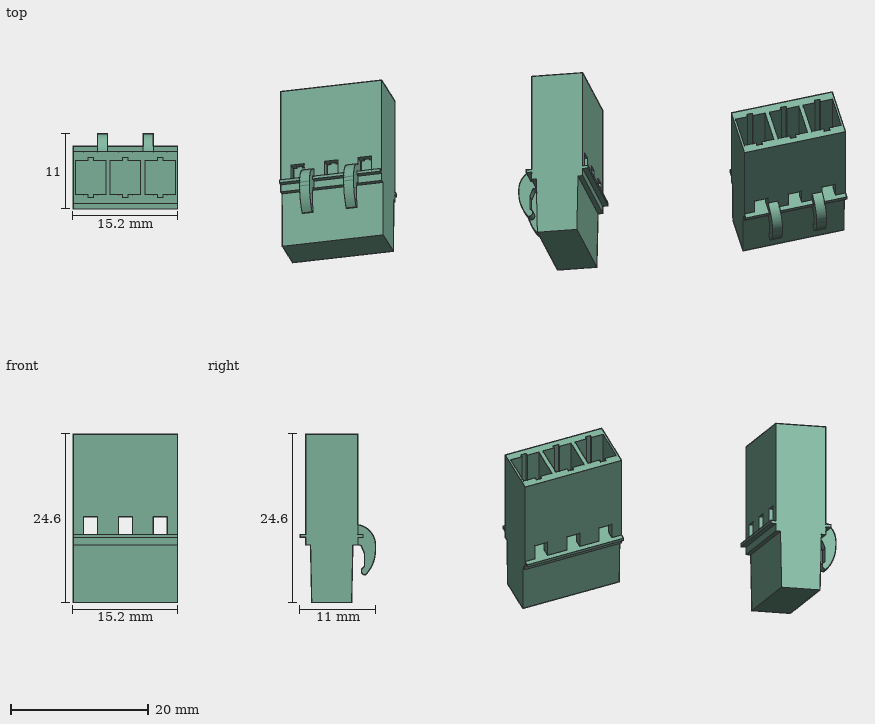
import cadquery as cq

height = 24.55
width = 15.25
upper_depth = 7.6
shoulder_z = 8.37

plug_top_depth = 6.2
plug_bottom_depth = 5.87

flange_depth = 9.18
flange_top_z = 9.95
flange_thickness = 0.45

cavity_count = 3
cavity_pitch = 5.08
cavity_width = 4.45
cavity_depth = 4.98
key_slot_width = 0.8
key_slot_span = 5.87
cavity_floor_z = flange_top_z

window_width = 2.01
window_height = 2.55

latch_count = 2
latch_spacing = 6.65
latch_width = 1.5
latch_reach_y = 6.4
latch_crown_z = 8.35
latch_sweep_z = 7.73
latch_root_top_z = 11.37
latch_inner_y = 4.76
latch_inner_bottom_z = 5.3
latch_inner_top_z = 7.17

crown_middle = (5.67, 10.34)
sweep_middle = (6.05, 5.75)
tip_outer = (4.95, 4.03)
tip_middle = (4.32, 4.52)
tip_inner = (4.62, 5.13)
flare_end = (4.4, 8.03)
root_round_middle = (4.25, 8.27)
root_round_end = (4.03, shoulder_z)


def row_positions(count, pitch):
    """X positions of a row of features centred on the housing."""
    return [(i - (count - 1) / 2) * pitch for i in range(count)]


def box_on(z, size_x, size_y, size_z):
    """Box centred on the Z axis with its underside at height z."""
    return cq.Workplane("XY").workplane(offset=z).rect(size_x, size_y).extrude(size_z)


def make_housing():
    """Upper block, tapered plug and flange, all of the same width."""
    plug = (
        cq.Workplane("YZ")
        .moveTo(-plug_bottom_depth / 2, 0)
        .lineTo(plug_bottom_depth / 2, 0)
        .lineTo(plug_top_depth / 2, shoulder_z)
        .lineTo(-plug_top_depth / 2, shoulder_z)
        .close()
        .extrude(width / 2, both=True)
    )
    upper = box_on(shoulder_z, width, upper_depth, height - shoulder_z)
    flange_z = flange_top_z - flange_thickness
    flange = box_on(flange_z, width, flange_depth, flange_thickness)
    return upper.union(plug).union(flange)


def make_cavity():
    """Cavity with its key slots and the window at its floor."""
    cavity_height = height - cavity_floor_z
    cavity = box_on(cavity_floor_z, cavity_width, cavity_depth, cavity_height)
    key_slot = box_on(cavity_floor_z, key_slot_width, key_slot_span, cavity_height)
    window = box_on(cavity_floor_z, window_width, upper_depth, window_height)
    return cavity.union(key_slot).union(window)


def make_latch():
    """Curved hook, rooted on the back wall and hanging below the shoulder."""
    wall_y = upper_depth / 2
    return (
        cq.Workplane("YZ")
        .moveTo(wall_y, shoulder_z)
        .lineTo(wall_y, latch_root_top_z)
        .threePointArc(crown_middle, (latch_reach_y, latch_crown_z))
        .lineTo(latch_reach_y, latch_sweep_z)
        .threePointArc(sweep_middle, tip_outer)
        .threePointArc(tip_middle, tip_inner)
        .lineTo(latch_inner_y, latch_inner_bottom_z)
        .lineTo(latch_inner_y, latch_inner_top_z)
        .lineTo(*flare_end)
        .threePointArc(root_round_middle, root_round_end)
        .close()
        .extrude(latch_width / 2, both=True)
    )


result = make_housing()
for x in row_positions(cavity_count, cavity_pitch):
    result = result.cut(make_cavity().translate((x, 0, 0)))
for x in row_positions(latch_count, latch_spacing):
    result = result.union(make_latch().translate((x, 0, 0)))